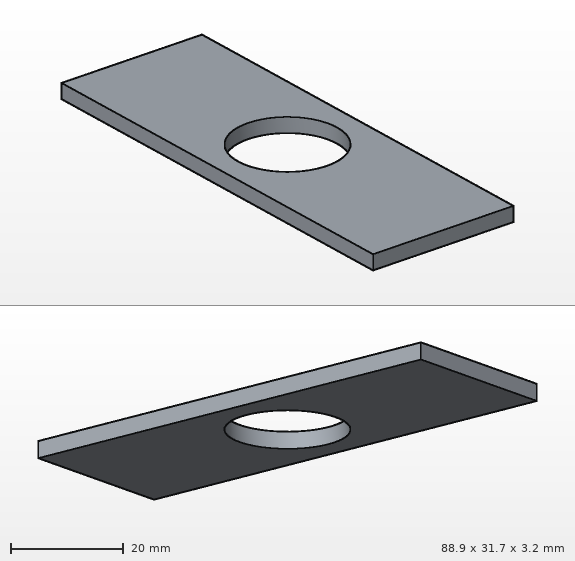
import cadquery as cq

length = 88.9
width = 31.7
thickness = 3.2

hole_diameter = 22.3

result = (
    cq.Workplane("XY")
    .box(length, width, thickness)
    .faces(">Z")
    .workplane()
    .hole(hole_diameter)
)